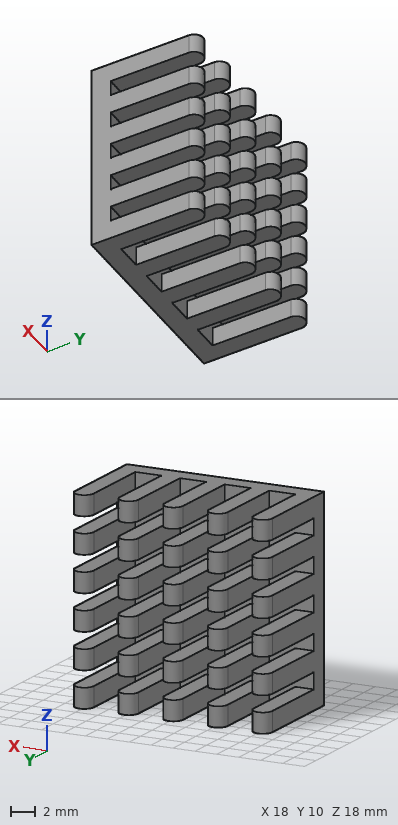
import cadquery as cq

width = 18.0
depth = 10.0
height = 18.0

base_thickness = 1.8

column_count = 5
row_count = 6
pin_width = 1.7
pin_height = 1.8
tip_radius = pin_width / 2

column_pitch = (width - pin_width) / (column_count - 1)
row_pitch = (height - pin_height) / (row_count - 1)
row_gap = row_pitch - pin_height

front_y = -depth / 2
base_back_y = front_y + base_thickness
back_y = depth / 2
tip_start_y = back_y - tip_radius
bottom_z = -height / 2


def make_base():
    """Flat rectangular plate that carries the pins."""
    plate = cq.Workplane("XY").box(width, base_thickness, height)
    return plate.translate((0, front_y + base_thickness / 2, 0))


def make_fin(center_x):
    """Full-height fin with a half-round tip, rooted at the front of the base."""
    left_x = center_x - pin_width / 2
    right_x = center_x + pin_width / 2
    return (
        cq.Workplane("XY", origin=(0, 0, bottom_z))
        .moveTo(left_x, front_y)
        .lineTo(right_x, front_y)
        .lineTo(right_x, tip_start_y)
        .threePointArc((center_x, back_y), (left_x, tip_start_y))
        .close()
        .extrude(height)
    )


def make_row_slot(center_z):
    """Cross slot that parts two neighbouring rows of pins down to the base."""
    slot_depth = back_y - base_back_y
    slot = cq.Workplane("XY").box(width, slot_depth, row_gap)
    return slot.translate((0, base_back_y + slot_depth / 2, center_z))


result = make_base()

for column in range(column_count):
    fin_x = (column - (column_count - 1) / 2) * column_pitch
    result = result.union(make_fin(fin_x))

for gap in range(row_count - 1):
    slot_z = (gap - (row_count - 2) / 2) * row_pitch
    result = result.cut(make_row_slot(slot_z))